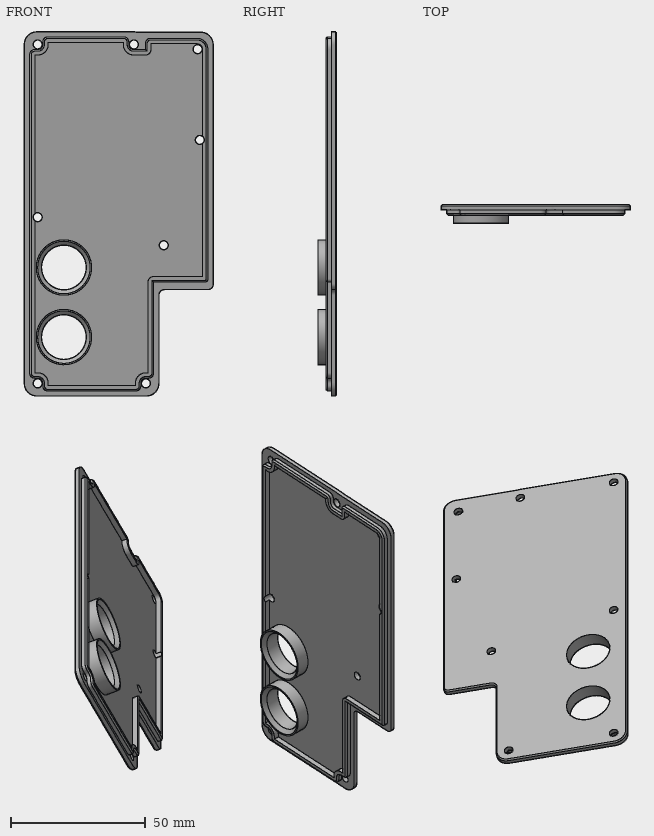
import cadquery as cq
import math


width = 70.0
height = 135.0
lower_width = 50.0
step_height = 39.4
plate_thickness = 2.0
corner_radius = 4.7
step_radius = 2.0
top_drop = 0.1
back_chamfer = 0.5

rim_height = 2.0
rim_wall = 2.0
rim_margin_side = 2.0
rim_margin_end = 1.9
rim_margin_top_right = 2.3
rim_margin_step = 2.8
rim_chamfer = 0.61
rim_corner_radius = 4.0
rim_fillet = 1.9
rim_step_fillet = 1.0

hole_diameter = 3.2
notch_radius = 1.9
top_hole_x = 40.6
top_notch_right = 45.0
left_hole_x = 5.0
bottom_hole_x = 45.1
bottom_hole_z = 4.7
top_hole_z = height - bottom_hole_z
notched_holes = [
    (left_hole_x, bottom_hole_z),
    (bottom_hole_x, bottom_hole_z),
    (left_hole_x, top_hole_z),
    (top_hole_x, top_hole_z),
]
inner_holes = [
    (64.3, 128.5),
    (65.1, 94.9),
    (left_hole_x, 66.3),
    (51.7, 55.9),
]

boss_diameter = 20.5
bore_diameter = 16.5
boss_x = 14.7
boss_heights = (21.9, 47.7)
boss_end = 7.0
bore_chamfer = 1.5


def block(x_min, x_max, z_min, z_max):
    """Box over the depth of the rim."""
    return (
        cq.Workplane("XZ", origin=(0, -plate_thickness, 0))
        .moveTo(x_min, z_min)
        .lineTo(x_max, z_min)
        .lineTo(x_max, z_max)
        .lineTo(x_min, z_max)
        .close()
        .extrude(rim_height)
    )


def fillet_at(body, points, radius):
    """Round the edges along Y that pass through the given (x, z) points."""
    reach = 0.1
    for x, z in points:
        selector = cq.selectors.BoxSelector(
            (x - reach, -boss_end, z - reach), (x + reach, 0, z + reach)
        )
        body = body.edges("|Y").edges(selector).fillet(radius)
    return body


def make_plate():
    drop_length = math.sqrt(corner_radius**2 - (corner_radius - top_drop) ** 2)
    top_right = height - top_drop
    plate = (
        cq.Workplane("XZ")
        .moveTo(0, 0)
        .lineTo(0, height)
        .lineTo(top_hole_x, height)
        .tangentArcPoint((top_hole_x + drop_length, top_right), relative=False)
        .lineTo(width, top_right)
        .lineTo(width, step_height)
        .lineTo(lower_width, step_height)
        .lineTo(lower_width, 0)
        .close()
        .extrude(plate_thickness)
    )
    outer_corners = [(0, 0), (lower_width, 0), (0, height), (width, top_right)]
    plate = fillet_at(plate, outer_corners, corner_radius)
    step_corners = [(lower_width, step_height), (width, step_height)]
    plate = fillet_at(plate, step_corners, step_radius)
    return plate.faces(">Y").chamfer(back_chamfer)


def make_rim():
    left = rim_margin_side
    bottom = rim_margin_end
    right = width - rim_margin_side
    top = height - rim_margin_end
    top_right = height - top_drop - rim_margin_top_right
    step_x = lower_width - rim_margin_side
    step_z = step_height + rim_margin_step

    rim = block(left, step_x, bottom, top)
    rim = rim.union(block(left, right, step_z, top))

    rim = rim.cut(block(top_notch_right, width, top_right, height))

    rim = rim.cut(
        cq.Workplane("XZ", origin=(0, -plate_thickness, 0))
        .pushPoints(notched_holes)
        .circle(notch_radius)
        .extrude(rim_height)
    )
    left_notch = left_hole_x + notch_radius
    bottom_notch = bottom_hole_x - notch_radius
    top_notch_left = top_hole_x - notch_radius
    low_notch_z = bottom_hole_z + notch_radius
    high_notch_z = top_hole_z - notch_radius
    rim = rim.cut(block(0, left_hole_x, 0, low_notch_z))
    rim = rim.cut(block(0, left_notch, 0, bottom_hole_z))
    rim = rim.cut(block(bottom_hole_x, lower_width, 0, low_notch_z))
    rim = rim.cut(block(bottom_notch, lower_width, 0, bottom_hole_z))
    rim = rim.cut(block(0, left_hole_x, high_notch_z, height))
    rim = rim.cut(block(0, left_notch, top_hole_z, height))
    rim = rim.cut(block(top_hole_x, top_notch_right, high_notch_z, height))
    rim = rim.cut(block(top_notch_left, top_notch_right, top_hole_z, height))

    notch_corners = [
        (left, low_notch_z),
        (left_notch, bottom),
        (bottom_notch, bottom),
        (step_x, low_notch_z),
        (left, high_notch_z),
        (left_notch, top),
        (top_notch_left, top),
        (top_notch_right, top_right),
    ]
    rim = fillet_at(rim, notch_corners, rim_fillet)
    rim = fillet_at(rim, [(right, top_right)], rim_corner_radius)
    rim = fillet_at(rim, [(right, step_z)], rim_step_fillet)

    cavity = (
        rim.faces("<Y")
        .wires()
        .toPending()
        .offset2D(-rim_wall)
        .extrude(-rim_height, combine=False)
    )
    return rim.faces("<Y").chamfer(rim_chamfer).cut(cavity)


def make_bosses():
    centers = [(boss_x, z) for z in boss_heights]
    return (
        cq.Workplane("XZ")
        .pushPoints(centers)
        .circle(boss_diameter / 2)
        .extrude(boss_end)
    )


def make_bores():
    bores = cq.Workplane("XZ")
    centers = [(boss_x, z) for z in boss_heights]
    bores = bores.pushPoints(centers).circle(bore_diameter / 2).extrude(boss_end)
    for x, z in centers:
        countersink = cq.Solid.makeCone(
            bore_diameter / 2 + bore_chamfer,
            bore_diameter / 2,
            bore_chamfer,
            pnt=cq.Vector(x, -boss_end, z),
            dir=cq.Vector(0, 1, 0),
        )
        bores = bores.union(cq.Workplane(obj=countersink))
    return bores


def make_screw_holes():
    return (
        cq.Workplane("XZ")
        .pushPoints(notched_holes + inner_holes)
        .circle(hole_diameter / 2)
        .extrude(boss_end)
    )


result = make_plate().union(make_rim()).union(make_bosses())
result = result.cut(make_bores()).cut(make_screw_holes())